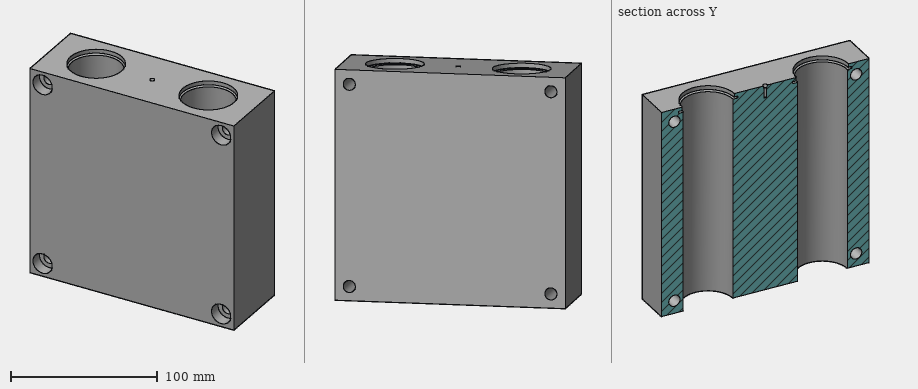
import cadquery as cq

side = 160
thickness = 56

bore_spacing = 88
bore_diameter = 38.0
mouth_diameter = 40
mouth_depth = 3.0
groove_diameter = 45.5
groove_height = 1.1

screw_spacing = 140.0
screw_diameter = 8.3
head_diameter = 15.0
head_depth = 9.0

pilot_mouth_diameter = 3.4
pilot_taper_depth = 2.4
pilot_diameter = 1.6
pilot_depth = 9.6


def make_block():
    return cq.Workplane("XY").box(side, thickness, side)


def disc(diameter, bottom, top):
    """Upright cylinder on the Z axis between two heights."""
    return cq.Workplane("XY").workplane(offset=bottom).circle(diameter / 2).extrude(top - bottom)


def cut_main_bores(body):
    top = side / 2
    groove_top = top - mouth_depth
    groove_floor = groove_top - groove_height
    cutter = (
        disc(bore_diameter, -top, top)
        .union(disc(groove_diameter, groove_floor, groove_top))
        .union(disc(mouth_diameter, groove_top, top))
    )
    for x in (-bore_spacing / 2, bore_spacing / 2):
        body = body.cut(cutter.translate((x, 0, 0)))
    return body


def cut_screw_holes(body):
    return (
        body.faces("<Y")
        .workplane(centerOption="CenterOfBoundBox")
        .rarray(screw_spacing, screw_spacing, 2, 2)
        .cboreHole(screw_diameter, head_diameter, head_depth)
    )


def cut_pilot_hole(body):
    mouth_radius = pilot_mouth_diameter / 2
    pilot_radius = pilot_diameter / 2
    top = side / 2
    bottom = top - pilot_depth
    cutter = (
        cq.Workplane("XZ")
        .moveTo(0, top)
        .lineTo(mouth_radius, top)
        .lineTo(pilot_radius, top - pilot_taper_depth)
        .lineTo(pilot_radius, bottom)
        .lineTo(0, bottom)
        .close()
        .revolve(360, (0, 0), (0, 1))
    )
    return body.cut(cutter)


block = make_block()
bored_block = cut_main_bores(block)
drilled_block = cut_screw_holes(bored_block)
result = cut_pilot_hole(drilled_block)